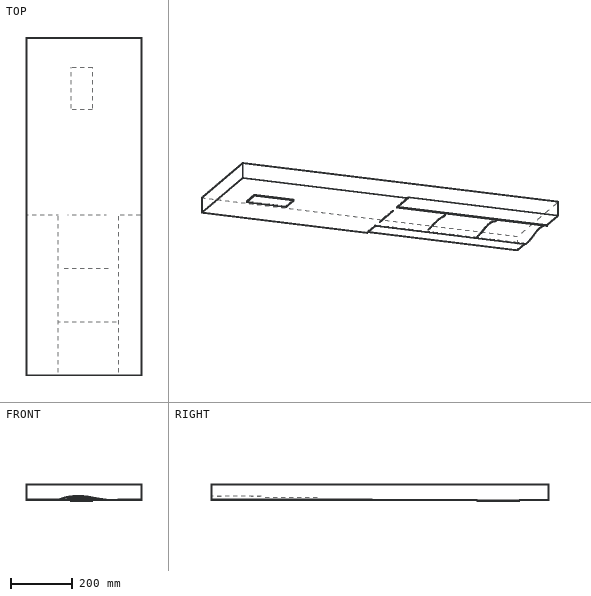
import cadquery as cq

width = 376.0
length = 1100.0
total_height = 55.0
pad_height = 3.0
slab_height = total_height - pad_height

step_length = 524.0
step_depth = 3.0
left_step_width = 102.0
right_step_width = 77.0

hollow_left = left_step_width
hollow_right = 292.0
hollow_peak = 174.0
hollow_depth = 14.0
terrace_count = 3
terrace_inset = 17.0

pad_left = 145.0
pad_width = 70.0
pad_length = 138.0
pad_back_margin = 96.0


def make_slab():
    return cq.Workplane("XY").box(width, length, slab_height, centered=False)


def make_edge_step(left, step_width):
    step = cq.Workplane("XY").box(step_width, step_length, step_depth, centered=False)
    return step.translate((left, 0, 0))


def make_terrace(index):
    """Arched cutter; each further terrace is longer, narrower and shallower."""
    share = (terrace_count - index) / terrace_count
    inset = index * terrace_inset
    reach = step_length * (index + 1) / terrace_count
    left = hollow_left + inset
    right = hollow_right - inset
    return (
        cq.Workplane("XZ")
        .moveTo(left, 0)
        .spline(
            [(hollow_peak, hollow_depth * share), (right, 0)],
            tangents=[(1, share / 2), (1, 0)],
            includeCurrent=True,
        )
        .close()
        .extrude(-reach)
    )


def make_pad():
    pad_front = length - pad_back_margin - pad_length
    return (
        cq.Workplane("XY")
        .box(pad_width, pad_length, pad_height, centered=False)
        .translate((pad_left, pad_front, -pad_height))
    )


body = make_slab()
body = body.cut(make_edge_step(0, left_step_width))
body = body.cut(make_edge_step(width - right_step_width, right_step_width))
for terrace_index in range(terrace_count):
    body = body.cut(make_terrace(terrace_index))
body = body.union(make_pad())

result = body.translate((-width / 2, -length / 2, pad_height - total_height / 2))